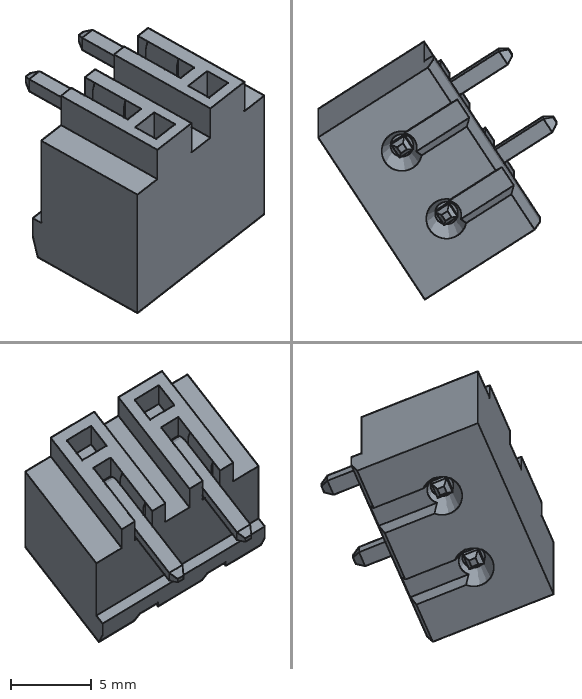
import cadquery as cq
import math


height = 12.2
width = 12.16
depth = 7.82
shoulder_height = 9.78
lip_reach = 0.68
lip_height = 3.0
lip_chamfer_height = 1.5
lip_chamfer_angle = 15

pitch = 5.08
pole_positions = [-pitch / 2, pitch / 2]
rib_width = 3.27

pin_size = 1.0
pin_reach = 4.07
leg_back = 4.43
leg_tip_height = 0.94
tip_size = 0.45
tip_length = 0.52

slot_clearance = 0.15
slot_width = pin_size + 2 * slot_clearance
slot_end = leg_back + slot_clearance
jaw_start = 0.77
jaw_length = 2.51
jaw_lead_in = 0.57

pocket_length = 1.7
pocket_width = 1.82
pocket_back_wall = 0.72
pocket_depth = height - shoulder_height

funnel_diameter = 2.5
funnel_height = 1.95
notch_height = 1.18
notch_bottom_width = 1.78
notch_top_width = 1.37

leg_axis = leg_back - pin_size / 2


def box(x_range, y_center, y_size, z_range):
    """Box spanning two X values and two Z values, centred on y_center."""
    return (
        cq.Workplane("XY", origin=(x_range[0], y_center, z_range[0]))
        .box(x_range[1] - x_range[0], y_size, z_range[1] - z_range[0], centered=(False, True, False))
    )


def housing_body():
    """Block with a front lip that is chamfered along its lower edge."""
    chamfer_run = lip_chamfer_height * math.tan(math.radians(lip_chamfer_angle))
    return (
        cq.Workplane("XZ", origin=(0, width / 2, 0))
        .moveTo(depth, 0)
        .lineTo(depth, shoulder_height)
        .lineTo(0, shoulder_height)
        .lineTo(0, lip_height)
        .lineTo(-lip_reach, lip_height)
        .lineTo(-lip_reach, lip_chamfer_height)
        .lineTo(chamfer_run - lip_reach, 0)
        .close()
        .extrude(width)
    )


def slotted_rib(y):
    """Top rib with a slot for the pin and a rectangular pocket behind it."""
    rib_levels = (shoulder_height, height)
    pocket_levels = (height - pocket_depth, height)
    pocket_end = depth - pocket_back_wall
    rib = box((0, depth), y, rib_width, rib_levels)
    slot = box((0, slot_end), y, slot_width, rib_levels)
    pocket = box((pocket_end - pocket_length, pocket_end), y, pocket_width, pocket_levels)
    return rib.cut(slot).cut(pocket)


def retaining_jaws(y):
    """Pads on both slot walls that touch the pin and slope back at the top."""
    jaws = cq.Workplane("YZ", origin=(jaw_start, y, 0))
    for side in (-1, 1):
        wall = side * slot_width / 2
        pin_side = side * pin_size / 2
        jaws = (
            jaws.moveTo(wall, shoulder_height)
            .lineTo(pin_side, shoulder_height)
            .lineTo(pin_side, height - jaw_lead_in)
            .lineTo(wall, height)
            .close()
        )
    return jaws.extrude(jaw_length)


def pin_tip(plane):
    """Tapered square tip that grows from the pin end along the plane normal."""
    return (
        cq.Workplane(plane)
        .rect(pin_size, pin_size)
        .workplane(offset=tip_length)
        .rect(tip_size, tip_size)
        .loft()
    )


def bent_pin(y):
    """Square pin with a horizontal arm, a rounded outer bend and a downward leg."""
    arm_end = tip_length - pin_reach
    leg_end = leg_tip_height + tip_length
    arm_top = shoulder_height + pin_size
    shank = (
        cq.Workplane("XZ", origin=(0, y + pin_size / 2, 0))
        .moveTo(arm_end, shoulder_height)
        .lineTo(arm_end, arm_top)
        .lineTo(leg_back - pin_size, arm_top)
        .radiusArc((leg_back, shoulder_height), pin_size)
        .lineTo(leg_back, leg_end)
        .lineTo(leg_back - pin_size, leg_end)
        .lineTo(leg_back - pin_size, shoulder_height)
        .close()
        .extrude(pin_size)
    )
    arm_axis = shoulder_height + pin_size / 2
    arm_tip = pin_tip(cq.Plane(origin=(arm_end, y, arm_axis), xDir=(0, 1, 0), normal=(-1, 0, 0)))
    leg_tip = pin_tip(cq.Plane(origin=(leg_axis, y, leg_end), xDir=(1, 0, 0), normal=(0, 0, -1)))
    return shank.union(arm_tip).union(leg_tip)


def funnel(y):
    """Conical recess that narrows upward until it just clears the leg corners."""
    leg_diagonal = pin_size * math.sqrt(2)
    return (
        cq.Workplane("XY", origin=(leg_axis, y, 0))
        .circle(funnel_diameter / 2)
        .workplane(offset=funnel_height)
        .circle(leg_diagonal / 2)
        .loft()
    )


def front_notch(y):
    """Tapered notch in the underside, from the front of the lip to the funnel."""
    return (
        cq.Workplane("YZ", origin=(-lip_reach, y, 0))
        .moveTo(-notch_bottom_width / 2, 0)
        .lineTo(notch_bottom_width / 2, 0)
        .lineTo(notch_top_width / 2, notch_height)
        .lineTo(-notch_top_width / 2, notch_height)
        .close()
        .extrude(lip_reach + leg_axis)
    )


result = housing_body()
for pole_y in pole_positions:
    result = (
        result.union(slotted_rib(pole_y))
        .union(retaining_jaws(pole_y))
        .cut(funnel(pole_y))
        .cut(front_notch(pole_y))
        .union(bent_pin(pole_y))
    )